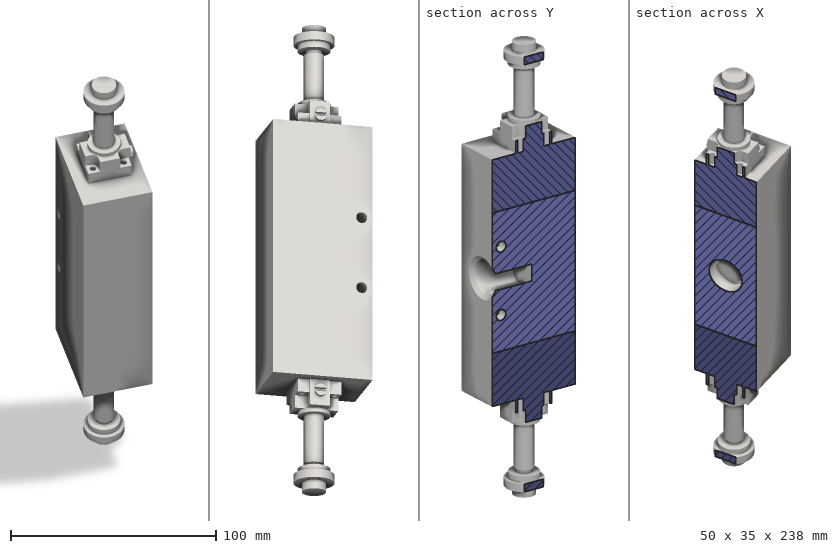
import cadquery as cq

TOTAL_LENGTH = 238.0
BODY_WIDTH = 50.0
BODY_DEPTH = 35.0
BODY_LENGTH = 130.0
END_CAP_LENGTH = 27.8

PORT_DIAMETER = 18.3
PORT_MOUTH_DIAMETER = 22.1
PORT_DEPTH = 23.8
CROSS_HOLE_DIAMETER = 5.5
CROSS_HOLE_SPACING = 36.0
CROSS_HOLE_EDGE_DISTANCE = 5.5

BLOCK_SIZE = 22.0
BLOCK_HEIGHT = 13.0
RIDGE_WIDTH = 10.0
NOTCH_DEPTH = 6.5
NOTCH_CORNER_RADIUS = 2.9
CORNER_HOLE_DIAMETER = 3.0

PAD_THICKNESS = 1.0
SCREW_HEAD_DIAMETER = 6.0
SCREW_HEAD_HEIGHT = 2.1
SCREW_HEIGHT = 5.7
SCREW_SLOT_WIDTH = 2.0

COLLAR_DIAMETER = 16.0
COLLAR_HEIGHT = 2.1
STEM_DIAMETER = 10.0
NECK_DIAMETER = 8.0
NECK_LENGTH = 2.1
NUT_SHOULDER_DIAMETER = 16.0
NUT_SHOULDER_HEIGHT = 3.0
NUT_DIAMETER = 20.0
NUT_HEIGHT = 4.3
KNOB_DIAMETER = 12.0
KNOB_HEIGHT = 4.5

VALVE_LENGTH = BODY_LENGTH - 2 * END_CAP_LENGTH
CAP_BOTTOM = VALVE_LENGTH / 2
CAP_TOP = BODY_LENGTH / 2
BLOCK_TOP = CAP_TOP + BLOCK_HEIGHT
NOTCH_FLOOR = BLOCK_TOP - NOTCH_DEPTH
NOTCH_SIZE = (BLOCK_SIZE - RIDGE_WIDTH) / 2
CORNER_HOLE_OFFSET = RIDGE_WIDTH / 2 + NOTCH_CORNER_RADIUS
HEAD_LENGTH = NECK_LENGTH + NUT_SHOULDER_HEIGHT + NUT_HEIGHT + KNOB_HEIGHT
STEM_LENGTH = TOTAL_LENGTH / 2 - BLOCK_TOP - COLLAR_HEIGHT - HEAD_LENGTH


def plain_box(width, depth, bottom, top):
    """Box centred on the Z axis between two heights."""
    return cq.Workplane("XY", origin=(0, 0, bottom)).rect(width, depth).extrude(top - bottom)


def make_valve_body():
    body = plain_box(BODY_WIDTH, BODY_DEPTH, -CAP_BOTTOM, CAP_BOTTOM)

    mouth_depth = (PORT_MOUTH_DIAMETER - PORT_DIAMETER) / 2
    port_profile = [
        (0, 0),
        (PORT_MOUTH_DIAMETER / 2, 0),
        (PORT_DIAMETER / 2, mouth_depth),
        (PORT_DIAMETER / 2, PORT_DEPTH),
        (0, PORT_DEPTH),
    ]
    port_plane = cq.Plane(origin=(-BODY_WIDTH / 2, 0, 0), xDir=(0, 1, 0), normal=(0, 0, -1))
    port = cq.Workplane(port_plane).polyline(port_profile).close().revolve(360, (0, 0), (0, 1))

    hole_x = -BODY_WIDTH / 2 + CROSS_HOLE_EDGE_DISTANCE
    cross_holes = (
        cq.Workplane("XZ")
        .pushPoints([(hole_x, side * CROSS_HOLE_SPACING / 2) for side in (-1, 1)])
        .circle(CROSS_HOLE_DIAMETER / 2)
        .extrude(BODY_DEPTH / 2, both=True)
    )
    return body.cut(port).cut(cross_holes)


def make_corner_cutter(side_x, side_y):
    """Notch with a rounded inner corner, and the hole below it, for one corner of the block."""
    notch_centre = BLOCK_SIZE / 2 - NOTCH_SIZE / 2
    inner_edge = "|Z and " + ("<X" if side_x > 0 else ">X") + " and " + ("<Y" if side_y > 0 else ">Y")
    notch = (
        cq.Workplane("XY", origin=(side_x * notch_centre, side_y * notch_centre, NOTCH_FLOOR))
        .rect(NOTCH_SIZE, NOTCH_SIZE)
        .extrude(NOTCH_DEPTH)
        .edges(inner_edge)
        .fillet(NOTCH_CORNER_RADIUS)
    )
    hole = (
        cq.Workplane("XY", origin=(side_x * CORNER_HOLE_OFFSET, side_y * CORNER_HOLE_OFFSET, CAP_TOP))
        .circle(CORNER_HOLE_DIAMETER / 2)
        .extrude(NOTCH_FLOOR - CAP_TOP)
    )
    return notch.union(hole)


def make_mounting_block():
    block = plain_box(BLOCK_SIZE, BLOCK_SIZE, CAP_TOP, BLOCK_TOP)
    for side_x in (-1, 1):
        for side_y in (-1, 1):
            block = block.cut(make_corner_cutter(side_x, side_y))
    return block


def make_screw_pad():
    """Pad on the +Y ridge of the block, carrying a slotted screw head."""
    pad_face = BLOCK_SIZE / 2 + PAD_THICKNESS
    pad = plain_box(RIDGE_WIDTH, PAD_THICKNESS, CAP_TOP, BLOCK_TOP)
    pad = pad.translate((0, pad_face - PAD_THICKNESS / 2, 0))

    screw_head = (
        cq.Workplane("XZ", origin=(0, pad_face, CAP_TOP + SCREW_HEIGHT))
        .circle(SCREW_HEAD_DIAMETER / 2)
        .extrude(-SCREW_HEAD_HEIGHT)
    )
    slot = (
        cq.Workplane("XZ", origin=(0, pad_face, CAP_TOP + SCREW_HEIGHT))
        .rect(SCREW_HEAD_DIAMETER, SCREW_SLOT_WIDTH)
        .extrude(-SCREW_HEAD_HEIGHT)
    )
    return pad.union(screw_head.cut(slot))


def make_stem():
    """Coaxial discs stacked upward from the top of the block."""
    steps = [
        (COLLAR_DIAMETER, COLLAR_HEIGHT),
        (STEM_DIAMETER, STEM_LENGTH),
        (NECK_DIAMETER, NECK_LENGTH),
        (NUT_SHOULDER_DIAMETER, NUT_SHOULDER_HEIGHT),
        (NUT_DIAMETER, NUT_HEIGHT),
        (KNOB_DIAMETER, KNOB_HEIGHT),
    ]
    stem = cq.Workplane("XY")
    bottom = BLOCK_TOP
    for diameter, height in steps:
        disc = cq.Workplane("XY", origin=(0, 0, bottom)).circle(diameter / 2).extrude(height)
        stem = stem.add(disc)
        bottom += height
    return stem.combine()


def make_end_unit():
    """End cap, mounting block, screw pad and stem in one piece, at the +Z end."""
    cap = plain_box(BODY_WIDTH, BODY_DEPTH, CAP_BOTTOM, CAP_TOP)
    return cap.union(make_mounting_block()).union(make_screw_pad()).union(make_stem())


valve_body = make_valve_body()
upper_end_unit = make_end_unit()
end_units = [upper_end_unit, upper_end_unit.mirror("XY")]

result = cq.Compound.makeCompound([valve_body.val(), *[unit.val() for unit in end_units]])